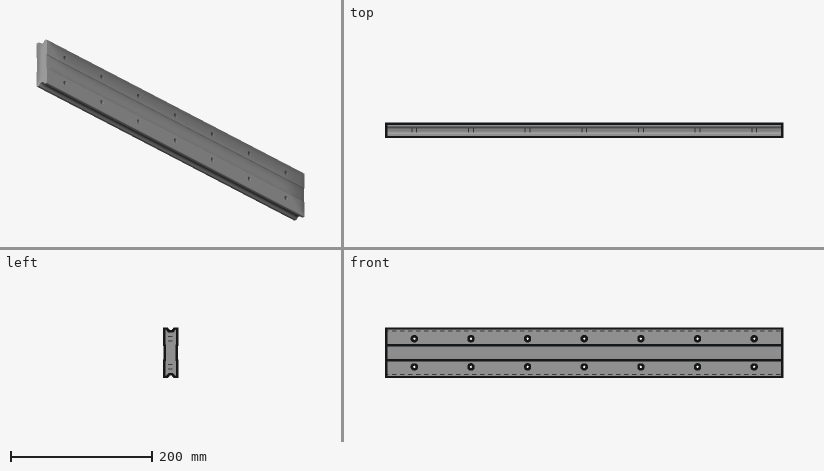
import cadquery as cq

LENGTH = 560.0
THICKNESS = 19.0
HEIGHT = 69.0
CORNER_RADIUS = 1.0

GROOVE_WIDTH = 10.5
GROOVE_FLOOR_WIDTH = 5.0
GROOVE_DEPTH = 4.0
GROOVE_MOUTH_RADIUS = 0.5
GROOVE_FLOOR_RADIUS = 1.95

RELIEF_FLOOR_HEIGHT = 20.0
RELIEF_DEPTH = 1.0

HOLE_DIAMETER = 7.0
HOLE_PITCH = 80.0
HOLES_PER_ROW = 7
ROW_SPACING = 40.0


def full_length_prism(outline):
    """Closed (Y, Z) outline extruded over the whole length of the bar."""
    return cq.Workplane("YZ").polyline(outline).close().extrude(LENGTH / 2, both=True)


def edge_grooves():
    """Sharp-cornered groove solids for the top and bottom edges."""
    half_mouth = GROOVE_WIDTH / 2
    half_floor = GROOVE_FLOOR_WIDTH / 2
    mouth = HEIGHT / 2
    floor = mouth - GROOVE_DEPTH
    top_groove = full_length_prism(
        [(-half_mouth, mouth), (-half_floor, floor), (half_floor, floor), (half_mouth, mouth)]
    )
    return top_groove.union(top_groove.mirror("XY"))


def face_reliefs():
    """Relief band solids for the front and back faces."""
    mouth = THICKNESS / 2
    floor = mouth - RELIEF_DEPTH
    half_floor = RELIEF_FLOOR_HEIGHT / 2
    half_mouth = half_floor + RELIEF_DEPTH
    back_relief = full_length_prism(
        [(mouth, -half_mouth), (floor, -half_floor), (floor, half_floor), (mouth, half_mouth)]
    )
    return back_relief.union(back_relief.mirror("XZ"))


def round_long_edges(body, y, z, radius):
    """Fillet the four long edges that run along X at (+-y, +-z)."""
    for edge_y in (-y, y):
        for edge_z in (-z, z):
            nearest = cq.selectors.NearestToPointSelector((0, edge_y, edge_z))
            body = body.edges("|X").edges(nearest).fillet(radius)
    return body


def mounting_holes():
    """Cylinders along Y for both rows of through holes."""
    return (
        cq.Workplane("XZ")
        .rarray(HOLE_PITCH, ROW_SPACING, HOLES_PER_ROW, 2)
        .circle(HOLE_DIAMETER / 2)
        .extrude(THICKNESS, both=True)
    )


bar = cq.Workplane("XY").box(LENGTH, THICKNESS, HEIGHT).cut(edge_grooves())
bar = round_long_edges(bar, THICKNESS / 2, HEIGHT / 2, CORNER_RADIUS)
bar = round_long_edges(bar, GROOVE_WIDTH / 2, HEIGHT / 2, GROOVE_MOUTH_RADIUS)
bar = round_long_edges(bar, GROOVE_FLOOR_WIDTH / 2, HEIGHT / 2 - GROOVE_DEPTH, GROOVE_FLOOR_RADIUS)
result = bar.cut(face_reliefs()).cut(mounting_holes())